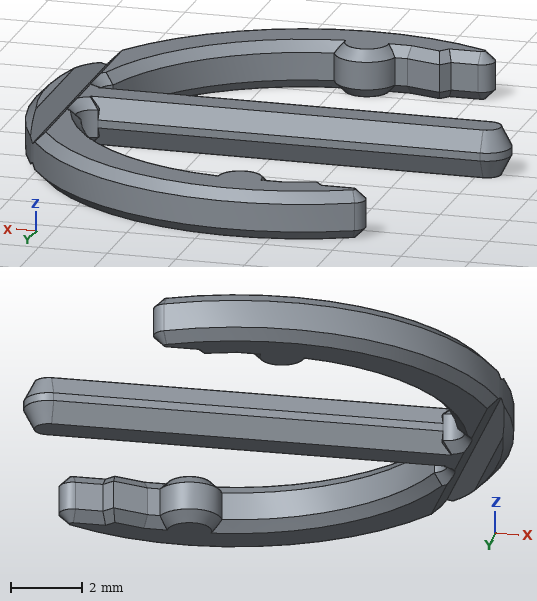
import cadquery as cq
import math

thickness = 1.4
outer_radius = 7.8
inner_radius = 6.25
edge_chamfer = 0.3

tip_radius = 0.39

tooth_foot_x = -2.53
tooth_peak_x = -2.28
tooth_ramp_end_x = -1.25
tooth_height = 0.3

bump_radius = 0.92
bump_center_y = 6.5

bar_width = 1.4
bar_tip_x = -6.05
bar_bevel_inset = 0.3
bar_edge_band = 0.23

relief_radius = 0.5
relief_center_x = 5.79

groove_x = 6.82
groove_depth = 0.42

half_height = thickness / 2
bar_half_width = bar_width / 2
bar_tip_center_x = bar_tip_x + bar_half_width
relief_center_y = bar_half_width + relief_radius


def on_circle(radius, angle):
    return (radius * math.cos(angle), radius * math.sin(angle))


def corner_start():
    """Point of the inner circle level with the relief hole center."""
    return (math.sqrt(inner_radius**2 - relief_center_y**2), relief_center_y)


def half_ring():
    """Upper half of the C-shaped plate with square edges, its corner still unrelieved."""
    tip_center_y = inner_radius + tip_radius
    tip_center_x = -math.sqrt((outer_radius - tip_radius) ** 2 - tip_center_y**2)
    tip_angle = math.atan2(tip_center_y, tip_center_x)
    tip_outer_end = on_circle(outer_radius, tip_angle)
    tip_arc_middle = (tip_center_x - tip_radius, tip_center_y)
    tip_inner_end = (tip_center_x, inner_radius)
    tooth_peak = (tooth_peak_x, inner_radius - tooth_height)

    return (
        cq.Workplane("XY", origin=(0, 0, -half_height))
        .moveTo(relief_center_x, 0)
        .lineTo(outer_radius, 0)
        .threePointArc(on_circle(outer_radius, tip_angle / 2), tip_outer_end)
        .threePointArc(tip_arc_middle, tip_inner_end)
        .lineTo(tooth_foot_x, inner_radius)
        .lineTo(*tooth_peak)
        .lineTo(tooth_ramp_end_x, inner_radius)
        .lineTo(0, inner_radius)
        .threePointArc(on_circle(inner_radius, math.pi / 4), corner_start())
        .lineTo(relief_center_x, relief_center_y)
        .close()
        .extrude(thickness)
    )


def chamfered_faces(plate):
    return plate.faces("|Z").edges().chamfer(edge_chamfer)


def bump(side):
    """Chamfered round bump; side is +1 for the upper arm and -1 for the lower arm."""
    base = cq.Workplane("XY", origin=(0, side * bump_center_y, -half_height))
    return chamfered_faces(base.circle(bump_radius).extrude(thickness))


def relief_cutter(side):
    """Relief hole that flares out at both faces by the edge chamfer."""
    flare_radius = relief_radius + edge_chamfer
    straight_half = half_height - edge_chamfer
    return (
        cq.Workplane("XZ")
        .moveTo(0, -half_height)
        .lineTo(flare_radius, -half_height)
        .lineTo(relief_radius, -straight_half)
        .lineTo(relief_radius, straight_half)
        .lineTo(flare_radius, half_height)
        .lineTo(0, half_height)
        .close()
        .revolve(360, (0, 0), (0, 1))
        .translate((relief_center_x, side * relief_center_y, 0))
    )


def ring():
    """Whole C-shaped plate with both faces chamfered all round."""
    upper = half_ring()
    plate = chamfered_faces(upper.union(upper.mirror("XZ")).clean())
    for side in (1, -1):
        plate = plate.union(bump(side)).cut(relief_cutter(side))
    return plate


def bar_half_section():
    """+Y half of the bar's cross section, standing at the center of its round end."""
    top_half_width = bar_half_width - bar_bevel_inset
    half_band = bar_edge_band / 2
    return (
        cq.Workplane("YZ", origin=(bar_tip_center_x, 0, 0))
        .moveTo(0, -half_height)
        .lineTo(top_half_width, -half_height)
        .lineTo(bar_half_width, -half_band)
        .lineTo(bar_half_width, half_band)
        .lineTo(top_half_width, half_height)
        .lineTo(0, half_height)
        .close()
    )


def bar():
    """Round-ended central bar with steep bevels above and below a narrow edge band."""
    half_shaft = bar_half_section().extrude(groove_x - groove_depth - bar_tip_center_x)
    round_end = bar_half_section().revolve(360, (0, 0), (0, 1))
    return half_shaft.union(half_shaft.mirror("XZ")).union(round_end)


def hinge_groove(side):
    """V groove across the ring on the face at side * Z."""
    face_z = side * half_height
    return (
        cq.Workplane("XZ")
        .moveTo(groove_x - groove_depth, face_z)
        .lineTo(groove_x, face_z - side * groove_depth)
        .lineTo(groove_x + groove_depth, face_z)
        .close()
        .extrude(outer_radius, both=True)
    )


result = ring().union(bar())
for side in (1, -1):
    result = result.cut(hinge_groove(side))